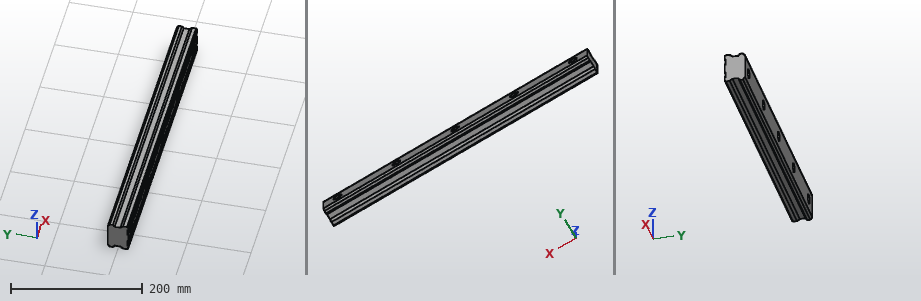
import cadquery as cq

length = 470.0
depth = 32.0
height = 45.0

head_chamfer_depth = 3.5
head_chamfer_height = 3.8
head_end = 8.0
flank_floor_start = 11.0
flank_floor_end = 19.7
foot_start = 24.0
flank_groove_depth = 3.5
foot_chamfer = 2.0

relief_outer = 15.0
relief_inner = 7.0
relief_depth = 1.5

hole_diameter = 14.0
hole_pitch = 105.0
hole_count = 5

back = depth / 2
front = -depth / 2
half_height = height / 2
flank_floor = half_height - flank_groove_depth


def half_rail():
    """Upper half of the rail, from its centre plane Z = 0 upwards."""
    return (
        cq.Workplane("YZ")
        .moveTo(back, 0)
        .lineTo(back, half_height - head_chamfer_height)
        .lineTo(back - head_chamfer_depth, half_height)
        .lineTo(back - head_end, half_height)
        .lineTo(back - flank_floor_start, flank_floor)
        .lineTo(back - flank_floor_end, flank_floor)
        .lineTo(back - foot_start, half_height)
        .lineTo(front + foot_chamfer, half_height)
        .lineTo(front, half_height - foot_chamfer)
        .lineTo(front, relief_outer)
        .lineTo(front + relief_depth, relief_outer)
        .lineTo(front + relief_depth, relief_inner)
        .lineTo(front, relief_inner)
        .lineTo(front, 0)
        .close()
        .extrude(length / 2, both=True)
    )


def mounting_holes():
    """Row of plain holes along Y, centred on the length of the rail."""
    return (
        cq.Workplane("XZ")
        .rarray(hole_pitch, 4.5, hole_count, 1)
        .circle(hole_diameter / 2)
        .extrude(depth, both=True)
    )


upper_half = half_rail()
rail = upper_half.union(upper_half.mirror("XY")).clean()

result = rail.cut(mounting_holes())